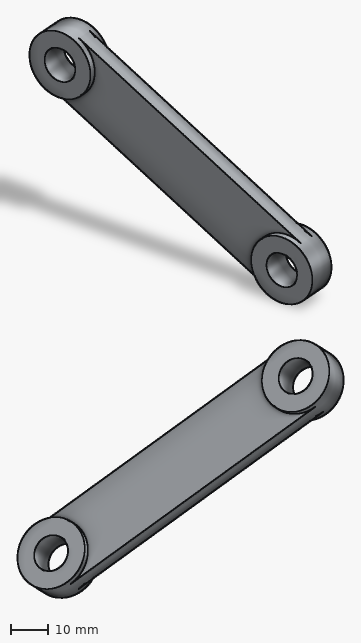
import cadquery as cq
import math

boss_diameter = 20.0
hole_diameter = 10.0
boss_length = 9.0
web_thickness = 5.0
span_x = 72.5
span_z = 40.0

boss_radius = boss_diameter / 2
upper_center = (-span_x / 2, span_z / 2)
lower_center = (span_x / 2, -span_z / 2)


def cylinder_along_y(center, diameter, length):
    """Cylinder parallel to Y, centred on the mid-plane Y = 0."""
    profile = cq.Workplane("XZ").center(*center).circle(diameter / 2)
    return profile.extrude(length / 2, both=True)


def make_web():
    """Flat bar whose long edges are tangent to both bosses."""
    bar = cq.Workplane("XY").box(math.hypot(span_x, span_z), web_thickness, boss_diameter)
    tilt = math.degrees(math.atan2(span_z, span_x))
    return bar.rotate((0, 0, 0), (0, 1, 0), tilt)


result = make_web()
for center in (upper_center, lower_center):
    result = result.union(cylinder_along_y(center, boss_diameter, boss_length))
for center in (upper_center, lower_center):
    result = result.cut(cylinder_along_y(center, hole_diameter, boss_length))